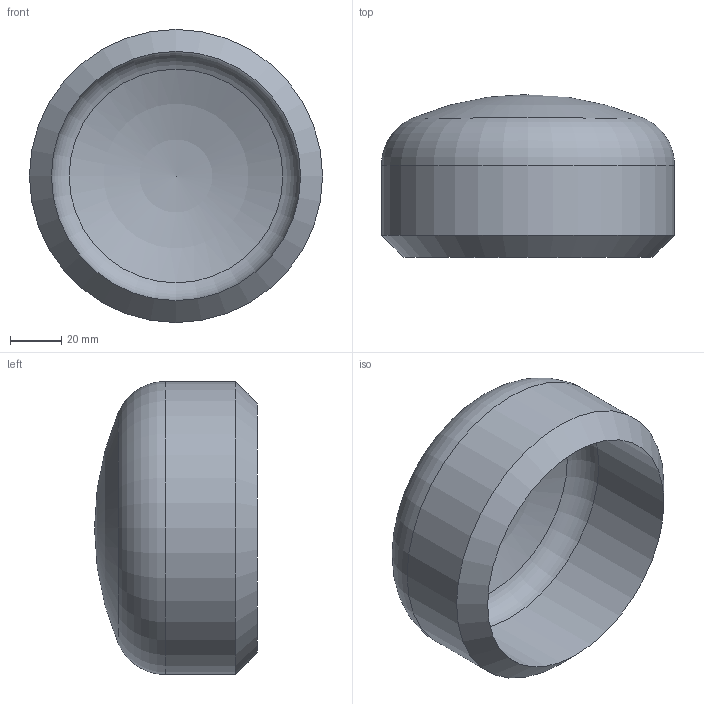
import cadquery as cq
import math

outer_diameter = 114.3
length = 63.5
wall = 8.56
crown_radius = outer_diameter
knuckle_radius = 20.0

outer_radius = outer_diameter / 2
inner_radius = outer_radius - wall
bevel_length = wall

crown_center_y = length - crown_radius
knuckle_center_r = outer_radius - knuckle_radius
center_distance = crown_radius - knuckle_radius
tangent_angle = math.asin(knuckle_center_r / center_distance)
knuckle_center_y = crown_center_y + center_distance * math.cos(tangent_angle)


def crown_point(radius, angle):
    """Point on a crown arc at the given angle from the axis, on the -X side."""
    return (-radius * math.sin(angle), crown_center_y + radius * math.cos(angle))


def knuckle_midpoint(radius):
    """Point halfway along a knuckle arc."""
    angle = (tangent_angle + math.pi / 2) / 2
    x = -knuckle_center_r - radius * math.sin(angle)
    y = knuckle_center_y + radius * math.cos(angle)
    return (x, y)


def wall_profile():
    """Half section of the cap wall in the XY plane."""
    inner_crown = crown_radius - wall
    inner_knuckle = knuckle_radius - wall
    half_angle = tangent_angle / 2
    return (
        cq.Workplane("XY")
        .moveTo(-inner_radius, 0)
        .lineTo(-outer_radius, bevel_length)
        .lineTo(-outer_radius, knuckle_center_y)
        .threePointArc(knuckle_midpoint(knuckle_radius), crown_point(crown_radius, tangent_angle))
        .threePointArc(crown_point(crown_radius, half_angle), (0, length))
        .lineTo(0, length - wall)
        .threePointArc(crown_point(inner_crown, half_angle), crown_point(inner_crown, tangent_angle))
        .threePointArc(knuckle_midpoint(inner_knuckle), (-inner_radius, knuckle_center_y))
        .close()
    )


result = wall_profile().revolve(360, (0, 0, 0), (0, 1, 0))